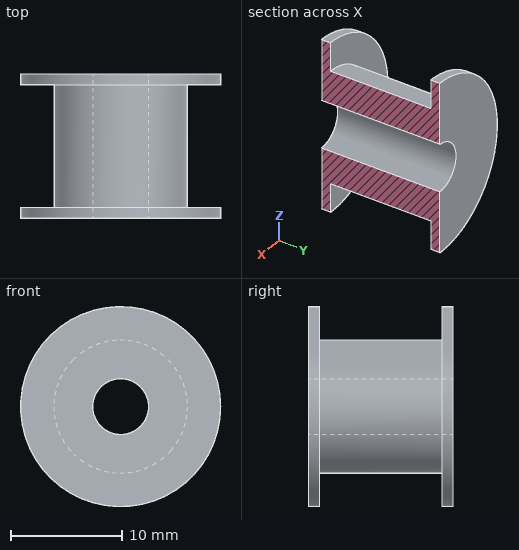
import cadquery as cq

flange_diameter = 18.0
hub_diameter = 12.0
bore_diameter = 5.0
spool_length = 13.0
flange_thickness = 1.0


def cylinder_along_y(diameter, length, start_y):
    """Solid cylinder centred on the Y axis, running toward +Y from start_y."""
    return (
        cq.Workplane("XZ", origin=(0, start_y, 0))
        .circle(diameter / 2)
        .extrude(-length)
    )


def flange(start_y):
    return cylinder_along_y(flange_diameter, flange_thickness, start_y)


front_y = -spool_length / 2
back_flange_y = spool_length / 2 - flange_thickness

hub = cylinder_along_y(hub_diameter, spool_length, front_y)
bore = cylinder_along_y(bore_diameter, spool_length, front_y)

result = hub.union(flange(front_y)).union(flange(back_flange_y)).cut(bore)